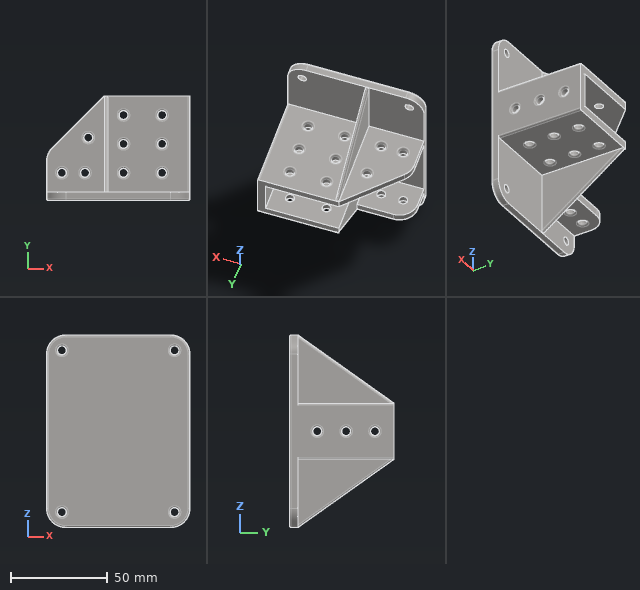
import cadquery as cq

plate_width = 74.5
plate_height = 100.0
corner_radius = 10.0
wall = 4.5
edge_round = 1.0
plate_hole_inset = 8.0

depth = 50.0
socket_left = 30.0
socket_gap = 20.0
middle_z = plate_height / 2
gap_bottom = middle_z - socket_gap / 2
gap_top = middle_z + socket_gap / 2
socket_bottom = gap_bottom - wall
socket_top = gap_top + wall
back_y = wall + depth

tab_depth = 20.0
tab_top = 20.0
tab_bottom = tab_top - wall

rib_thickness = 2.0
rib_round = 0.99

hole_diameter = 4.5
hole_round = 1.0
row_pitch = 15.0
row_count = 3
first_row_offset = 10.0
shelf_hole_inset = 10.0
shelf_hole_spacing = 20.0
first_row = wall + first_row_offset
hole_rows = [first_row + i * row_pitch for i in range(row_count)]
first_column = socket_left + shelf_hole_inset
shelf_columns = [first_column, first_column + shelf_hole_spacing]
tab_hole_points = [(8.0, first_row), (20.0, first_row)]
wing_hole_point = (21.7, 32.8)


def box(x_range, y_range, z_range):
    """Axis-aligned block given by its limits."""
    sizes = [high - low for low, high in (x_range, y_range, z_range)]
    corner = (x_range[0], y_range[0], z_range[0])
    return cq.Workplane("XY").box(*sizes, centered=False).translate(corner)


def make_plate():
    plate = box((0, plate_width), (0, wall), (0, plate_height))
    return plate.edges("|Y").fillet(corner_radius).faces("<Y").edges().fillet(edge_round)


def make_socket():
    """Two shelves joined by a side wall, rounded along its outer corners."""
    outside = box((socket_left, plate_width), (wall, back_y), (socket_bottom, socket_top))
    gap = box((socket_left, plate_width - wall), (wall, back_y), (gap_bottom, gap_top))
    return outside.edges("|Y and >X").fillet(edge_round).cut(gap)


def make_wing():
    """Upper shelf extension, cut back at 45 degrees from the socket corner."""
    corner_y = back_y - socket_left
    outline = [(0, wall), (socket_left, wall), (socket_left, back_y), (0, corner_y)]
    wing = cq.Workplane("XY").workplane(offset=gap_top).polyline(outline).close().extrude(wall)
    blunt_corner = cq.selectors.NearestToPointSelector((0, corner_y, gap_top + wall / 2))
    return wing.edges(blunt_corner).fillet(corner_radius)


def make_tab():
    tab = box((0, socket_left), (wall, wall + tab_depth), (tab_bottom, tab_top))
    return tab.edges("|Z and <X and >Y").fillet(corner_radius)


def make_upper_rib():
    """Rib from the back of the upper shelf to the top of the plate."""
    outline = [(wall, gap_top), (back_y, gap_top), (back_y, socket_top), (wall, plate_height)]
    rib = cq.Workplane("YZ").workplane(offset=socket_left).polyline(outline).close().extrude(rib_thickness)
    slope_middle = ((wall + back_y) / 2, (socket_top + plate_height) / 2)
    for x in (socket_left, socket_left + rib_thickness):
        slope_edge = cq.selectors.NearestToPointSelector((x, *slope_middle))
        rib = rib.edges(slope_edge).fillet(rib_round)
    return rib


def cut_holes(body, outer_face, points):
    """Drill holes through one wall from its outer face, each with a rounded mouth."""
    radius = hole_diameter / 2
    mouth_radius = radius + hole_round
    plug = cq.Workplane("XY").circle(radius).extrude(-wall)
    flare = cq.Workplane("XY").circle(mouth_radius).extrude(-hole_round)
    ring = cq.Solid.makeTorus(mouth_radius, hole_round, cq.Vector(0, 0, -hole_round))
    cutter = plug.union(flare.cut(cq.Workplane(ring))).val()
    cutters = cq.Workplane(outer_face).pushPoints(points).eachpoint(
        lambda spot: cutter.moved(spot), useLocalCoordinates=True
    )
    return body.cut(cutters)


def mirrored(points):
    """Points as seen from below, where the face's second axis runs along -Y."""
    return [(x, -y) for x, y in points]


upper_rib = make_upper_rib()
lower_rib = upper_rib.mirror("XY", (0, 0, middle_z))

result = make_plate()
for piece in (make_socket(), make_wing(), make_tab(), upper_rib, lower_rib):
    result = result.union(piece)

shelf_points = [(x, y) for x in shelf_columns for y in hole_rows]
upper_points = shelf_points + tab_hole_points + [wing_hole_point]
plate_points = [
    (x, z)
    for x in (plate_hole_inset, plate_width - plate_hole_inset)
    for z in (plate_hole_inset, plate_height - plate_hole_inset)
]
side_points = [(y, middle_z) for y in hole_rows]

along_x = (1, 0, 0)
along_y = (0, 1, 0)
front_face = cq.Plane((0, 0, 0), along_x, (0, -1, 0))
side_face = cq.Plane((plate_width, 0, 0), along_y, (1, 0, 0))
upper_face = cq.Plane((0, 0, socket_top), along_x, (0, 0, 1))
lower_face = cq.Plane((0, 0, socket_bottom), along_x, (0, 0, -1))
tab_face = cq.Plane((0, 0, tab_bottom), along_x, (0, 0, -1))

result = cut_holes(result, front_face, plate_points)
result = cut_holes(result, side_face, side_points)
result = cut_holes(result, upper_face, upper_points)
result = cut_holes(result, lower_face, mirrored(shelf_points))
result = cut_holes(result, tab_face, mirrored(tab_hole_points))